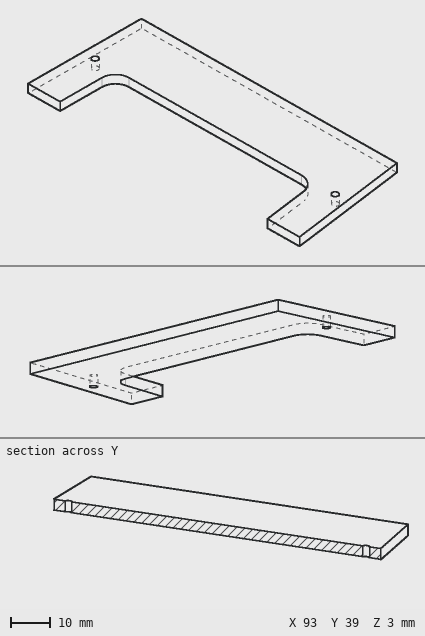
import cadquery as cq
import math

thickness = 3.0
depth = 39.0
front_width = 92.98
side_taper = math.tan(math.radians(4.0))

leg_width = 11.0
notch_depth = 19.0
notch_corner_radius = 5.0

hole_diameter = 2.0
hole_spacing = 82.2
hole_from_front = notch_depth

front_half = front_width / 2
back_half = front_half - depth * side_taper
notch_front_half = front_half - leg_width
notch_back_half = notch_front_half - notch_depth * side_taper


def symmetric_trapezoid(half_width_front, half_width_back, length):
    """Extruded trapezoid, centred on X, running from Y = 0 to Y = length."""
    return (
        cq.Workplane("XY")
        .moveTo(-half_width_front, 0)
        .lineTo(half_width_front, 0)
        .lineTo(half_width_back, length)
        .lineTo(-half_width_back, length)
        .close()
        .extrude(thickness)
    )


def notch():
    """Tapered cutter with its two inner corners rounded."""
    cutter = symmetric_trapezoid(notch_front_half, notch_back_half, notch_depth)
    return cutter.edges("|Z and >Y").fillet(notch_corner_radius)


def holes():
    """Pair of cutters for the through holes."""
    return (
        cq.Workplane("XY")
        .pushPoints([(side * hole_spacing / 2, hole_from_front) for side in (-1, 1)])
        .circle(hole_diameter / 2)
        .extrude(thickness)
    )


plate = symmetric_trapezoid(front_half, back_half, depth)
result = plate.cut(notch()).cut(holes())